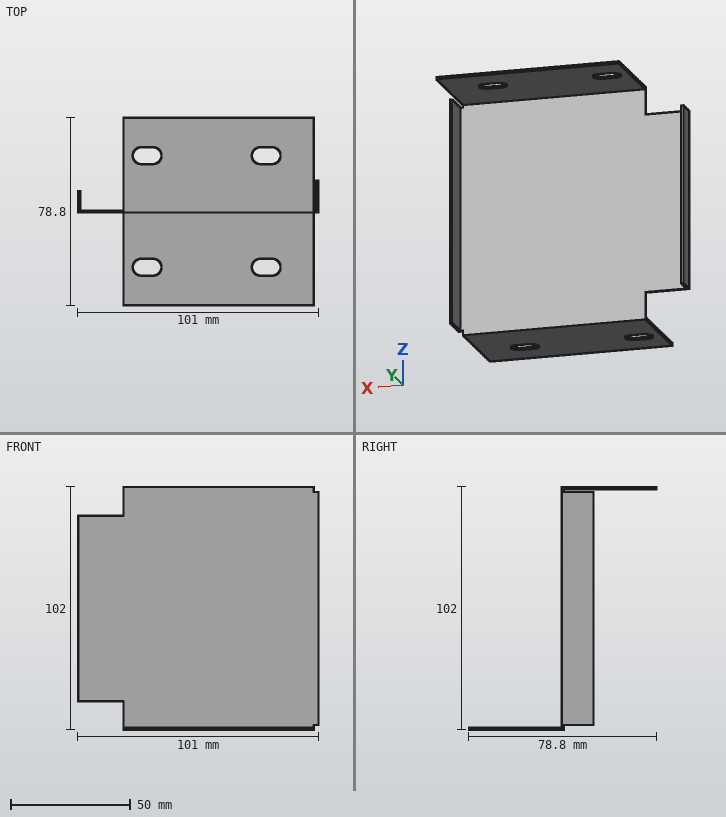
import cadquery as cq

thickness = 1.0
overall_length = 101.0
overall_height = 102.0

mount_width = 80.0
mount_depth = 39.92

relief = 2 * thickness

left_flange_height = 78.0
left_flange_depth = 9.0
right_flange_height = overall_height - 2 * relief
right_flange_depth = 13.4

slot_length = 12.0
slot_width = 7.0
slots_per_flange = 2
slot_spacing = 50.0
slot_from_left_edge = 10.0
slot_from_free_edge = 16.0

mount_right = overall_length - relief
mount_left = mount_right - mount_width
mid_height = overall_height / 2
top_free_edge = mount_depth
bottom_free_edge = thickness - mount_depth


def box(x_range, y_range, z_range):
    """Axis-aligned box between the given limits."""
    x_start, x_end = x_range
    y_start, y_end = y_range
    z_start, z_end = z_range
    block = cq.Workplane("XY").box(
        x_end - x_start, y_end - y_start, z_end - z_start, centered=False
    )
    return block.translate((x_start, y_start, z_start))


def centred_span(height):
    """Z limits of a piece centred on the mid height of the web."""
    return (mid_height - height / 2, mid_height + height / 2)


def make_web():
    """Upright web: a full-height middle with a tab towards each side flange."""
    sheet = (0, thickness)
    middle = box((mount_left, mount_right), sheet, (0, overall_height))
    left_tab = box((0, mount_left), sheet, centred_span(left_flange_height))
    right_tab = box((mount_right, overall_length), sheet, centred_span(right_flange_height))
    return middle.union(left_tab).union(right_tab)


def make_side_flanges():
    """Left and right upright flanges, as tall as the tabs they bend from."""
    left = box((0, thickness), (0, left_flange_depth), centred_span(left_flange_height))
    right = box(
        (overall_length - thickness, overall_length),
        (0, right_flange_depth),
        centred_span(right_flange_height),
    )
    return left, right


def make_mount_flanges():
    """Top and bottom flat flanges."""
    mount_span = (mount_left, mount_right)
    top = box(mount_span, (0, top_free_edge), (overall_height - thickness, overall_height))
    bottom = box(mount_span, (bottom_free_edge, thickness), (0, thickness))
    return top, bottom


def make_slots():
    """Through cutters for the two slots in each mounting flange."""
    first_slot = mount_left + slot_from_left_edge
    slot_rows = (top_free_edge - slot_from_free_edge, bottom_free_edge + slot_from_free_edge)
    slot_columns = [first_slot + i * slot_spacing for i in range(slots_per_flange)]
    centres = [(x, y) for y in slot_rows for x in slot_columns]
    return (
        cq.Workplane("XY")
        .pushPoints(centres)
        .slot2D(slot_length, slot_width)
        .extrude(overall_height)
    )


bracket = make_web()
for flange in (*make_side_flanges(), *make_mount_flanges()):
    bracket = bracket.union(flange)

result = bracket.cut(make_slots())